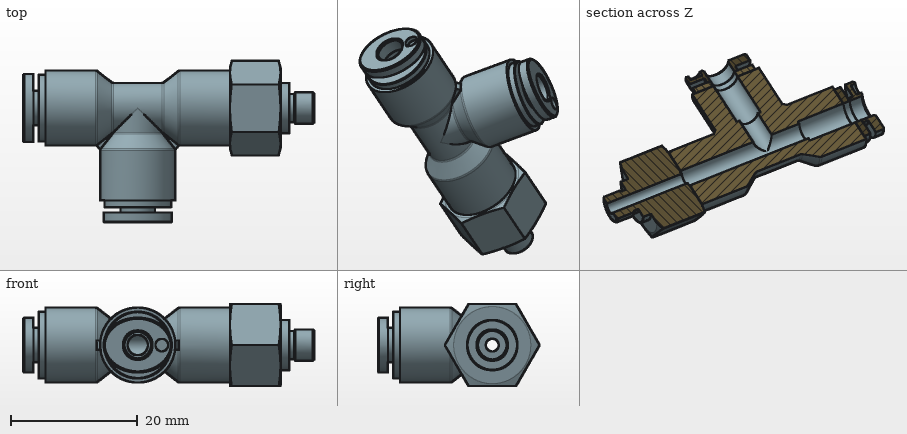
import cadquery as cq
import math


ARM_LENGTH = 14.6
ARM_DIAMETER = 11.9
WAIST_DIAMETER = 8.0
CONE_OUTER_END = 6.5
CONE_INNER_END = 4.0
CONE_FILLET = 0.5
WEB_THICKNESS = 1.5
FLOW_DIAMETER = 3.2
SOCKET_DIAMETER = 4.18
SOCKET_DEPTH = ARM_LENGTH - CONE_OUTER_END

COLLAR_DIAMETER = 10.6
COLLAR_LENGTH = 1.1
COLLAR_CHAMFER = 0.1

NECK_DIAMETER = 5.5
NECK_LENGTH = 0.8
FLANGE_LONG_AXIS = 10.8
FLANGE_SHORT_AXIS = 8.7
FLANGE_THICKNESS = 1.6
FLANGE_CHAMFER = 0.2
SLEEVE_BORE = 4.2
MOUTH_CHAMFER = 0.25
DIMPLE_DIAMETER = 2.0
DIMPLE_OFFSET = 3.8
DIMPLE_DEPTH = 0.8

HEX_ACROSS_FLATS = 13.0
HEX_LENGTH = 8.05
HEX_CHAMFER_ANGLE = 15.0
HEX_INNER_FACE_DIAMETER = 13.0
HEX_OUTER_FACE_DIAMETER = 12.2
SEAT_DIAMETER = 8.0
SEAT_LENGTH = 1.35
SEAT_CHAMFER = 0.1
RELIEF_DIAMETER = 4.5
RELIEF_LENGTH = 0.7
THREAD_DIAMETER = 5.0
THREAD_LENGTH = 3.2
THREAD_CHAMFER = (THREAD_DIAMETER - RELIEF_DIAMETER) / 2
STUD_BORE = 2.0


def along_x(x, direction=1):
    """Workplane at x on the run axis, facing +X (direction 1) or -X (direction -1), with Z up."""
    return cq.Workplane(cq.Plane((x, 0, 0), xDir=(0, direction, 0), normal=(direction, 0, 0)))


def run_rod(diameter, start, length):
    """Cylinder on the run axis that grows toward +X."""
    return along_x(start).circle(diameter / 2).extrude(length)


def to_branch(body):
    """Turn a body built for the -X port onto the -Y port."""
    return body.rotate((0, 0, 0), (0, 0, 1), 90)


def make_arm():
    """Arm toward -X: a waist, a cone and the full cylinder, in one turned shape."""
    waist = WAIST_DIAMETER / 2
    full = ARM_DIAMETER / 2
    arm = (
        cq.Workplane("XY")
        .polyline([
            (0, 0),
            (0, waist),
            (-CONE_INNER_END, waist),
            (-CONE_OUTER_END, full),
            (-ARM_LENGTH, full),
            (-ARM_LENGTH, 0),
        ])
        .close()
        .revolve(360, (0, 0, 0), (1, 0, 0))
    )
    outer_end = arm.edges("%CIRCLE").edges(cq.selectors.CenterNthSelector(cq.Vector(1, 0, 0), 1))
    inner_end = arm.edges("%CIRCLE").edges(cq.selectors.CenterNthSelector(cq.Vector(1, 0, 0), 2))
    return arm.newObject(outer_end.vals() + inner_end.vals()).fillet(CONE_FILLET)


def make_port_bore():
    """Flow passage with the tube socket of the -X port."""
    return run_rod(FLOW_DIAMETER, -ARM_LENGTH, ARM_LENGTH).union(
        run_rod(SOCKET_DIAMETER, -ARM_LENGTH, SOCKET_DEPTH)
    )


def make_housing():
    arm = make_arm()
    housing = arm.union(arm.rotate((0, 0, 0), (0, 0, 1), 180))

    housing = housing.union(to_branch(arm))

    reach = CONE_OUTER_END
    edge = ARM_DIAMETER / 2
    web = (
        cq.Workplane("XY")
        .polyline([(0, 0), (-reach, -edge), (-edge, -reach), (edge, -reach), (reach, -edge)])
        .close()
        .extrude(WEB_THICKNESS / 2, both=True)
    )
    housing = housing.union(web)

    bore = make_port_bore()
    run_to_stud = run_rod(FLOW_DIAMETER, 0, ARM_LENGTH)
    return housing.cut(bore).cut(to_branch(bore)).cut(run_to_stud)


def make_collar():
    """Ring on the end face of the -X port."""
    return (
        along_x(-ARM_LENGTH, -1)
        .circle(COLLAR_DIAMETER / 2)
        .extrude(COLLAR_LENGTH)
        .faces("<X")
        .chamfer(COLLAR_CHAMFER)
        .cut(run_rod(SOCKET_DIAMETER, -ARM_LENGTH - COLLAR_LENGTH, COLLAR_LENGTH))
    )


def make_sleeve():
    """Release sleeve of the -X port, standing on the collar."""
    neck_start = -ARM_LENGTH - COLLAR_LENGTH
    flange_start = neck_start - NECK_LENGTH
    outer_face = flange_start - FLANGE_THICKNESS
    flange = (
        along_x(flange_start, -1)
        .ellipse(FLANGE_LONG_AXIS / 2, FLANGE_SHORT_AXIS / 2)
        .extrude(FLANGE_THICKNESS)
        .faces("<X")
        .chamfer(FLANGE_CHAMFER)
    )
    sleeve = flange.union(run_rod(NECK_DIAMETER, flange_start, NECK_LENGTH))
    sleeve = sleeve.cut(run_rod(SLEEVE_BORE, outer_face, neck_start - outer_face))
    mouth = cq.selectors.RadiusNthSelector(0)
    sleeve = sleeve.faces("<X").edges(mouth).chamfer(MOUTH_CHAMFER)
    dimple = (
        along_x(outer_face)
        .center(-DIMPLE_OFFSET, 0)
        .circle(DIMPLE_DIAMETER / 2)
        .extrude(DIMPLE_DEPTH)
    )
    return sleeve.cut(dimple)


def make_hex():
    """Hexagon with flats on top and bottom and turned chamfers at both ends."""
    corner_radius = HEX_ACROSS_FLATS / 2 / math.cos(math.radians(30))
    slope = math.tan(math.radians(HEX_CHAMFER_ANGLE))
    start = ARM_LENGTH
    end = ARM_LENGTH + HEX_LENGTH
    inner_radius = HEX_INNER_FACE_DIAMETER / 2
    outer_radius = HEX_OUTER_FACE_DIAMETER / 2
    hexagon = along_x(start).polygon(6, 2 * corner_radius).extrude(HEX_LENGTH)
    turned = (
        cq.Workplane("XY")
        .polyline([
            (start, 0),
            (start, inner_radius),
            (start + slope * (corner_radius - inner_radius), corner_radius),
            (end - slope * (corner_radius - outer_radius), corner_radius),
            (end, outer_radius),
            (end, 0),
        ])
        .close()
        .revolve(360, (0, 0, 0), (1, 0, 0))
    )
    return hexagon.intersect(turned)


def make_stud():
    seat_start = ARM_LENGTH + HEX_LENGTH
    relief_start = seat_start + SEAT_LENGTH
    thread_start = relief_start + RELIEF_LENGTH
    thread_end = thread_start + THREAD_LENGTH
    seat = run_rod(SEAT_DIAMETER, seat_start, SEAT_LENGTH).faces(">X").chamfer(SEAT_CHAMFER)
    relief = run_rod(RELIEF_DIAMETER, relief_start, RELIEF_LENGTH)
    thread = run_rod(THREAD_DIAMETER, thread_start, THREAD_LENGTH)
    thread = thread.faces("<X or >X").chamfer(THREAD_CHAMFER)
    stud = make_hex().union(seat).union(relief).union(thread)
    return stud.cut(run_rod(STUD_BORE, ARM_LENGTH, thread_end - ARM_LENGTH))


housing = make_housing()
stud = make_stud()
collars = []
sleeves = []
for place in (lambda body: body, to_branch):
    collars.append(place(make_collar()))
    sleeves.append(place(make_sleeve()))

result = cq.Compound.makeCompound([
    housing.val(),
    stud.val(),
    *[collar.val() for collar in collars],
    *[sleeve.val() for sleeve in sleeves],
])